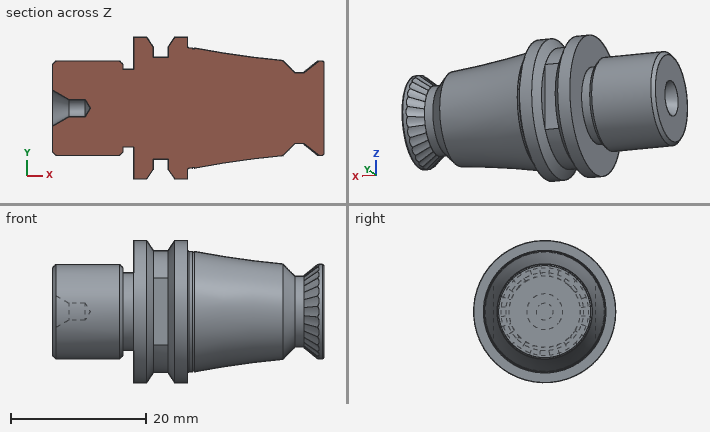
import cadquery as cq
import math

LENGTH = 40.1

SHANK_RADIUS = 14.0 / 2
SHANK_END = 10.43
SHANK_CHAMFER = 0.52
RELIEF_RADIUS = 11.5 / 2

FLANGE_RADIUS = 21.0 / 2
FLANGE_START = 12.0
FLANGE_END = 19.95
FLANGE_RIM_WIDTH = 1.92
GROOVE_RADIUS = 9.02
GROOVE_WIDTH = 2.15
FLAT_DISTANCE = 15.08

TAPER_LARGE_RADIUS = 8.9
TAPER_START = 20.97
TAPER_SMALL_RADIUS = 7.05
TAPER_END = 34.0
TAPER_SAG = 0.15
COLLAR_FLARE = 0.15
RING_START = 20.7
RING_DEPTH = 0.12
NECK_RADIUS = 10.5 / 2
NECK_START = 35.8

HEAD_START = 37.15
HEAD_RADIUS = 14.0 / 2
HEAD_CHAMFER = 0.2
FLUTE_COUNT = 28
FLUTE_RADIUS = 2.75
FLUTE_END = 39.38
FLUTE_STOCK = 0.32
FLUTE_OVERRUN = 1.2

COUNTERSINK_RADIUS = 5.3 / 2
PILOT_RADIUS = 2.5 / 2
PILOT_LENGTH = 2.4
COUNTERSINK_HALF_ANGLE = math.radians(30)
DRILL_HALF_ANGLE = math.radians(59)


def revolve_about_x(profile):
    """Revolve a closed XY profile a full turn about the X axis."""
    return profile.close().revolve(360, (0, 0, 0), (1, 0, 0))


def make_body():
    """Shank, flange, tapered nose and the neck up to the head."""
    groove_middle = (FLANGE_START + FLANGE_END) / 2
    groove_start = groove_middle - GROOVE_WIDTH / 2
    groove_end = groove_middle + GROOVE_WIDTH / 2
    ring_radius = TAPER_LARGE_RADIUS - RING_DEPTH
    taper_middle = (TAPER_START + TAPER_END) / 2
    taper_middle_radius = (TAPER_LARGE_RADIUS + TAPER_SMALL_RADIUS) / 2 - TAPER_SAG
    profile = (
        cq.Workplane("XY")
        .moveTo(0, 0)
        .lineTo(0, SHANK_RADIUS - SHANK_CHAMFER)
        .lineTo(SHANK_CHAMFER, SHANK_RADIUS)
        .lineTo(SHANK_END - SHANK_CHAMFER, SHANK_RADIUS)
        .lineTo(SHANK_END, SHANK_RADIUS - SHANK_CHAMFER)
        .lineTo(SHANK_END, RELIEF_RADIUS)
        .lineTo(FLANGE_START, RELIEF_RADIUS)
        .lineTo(FLANGE_START, FLANGE_RADIUS)
        .lineTo(FLANGE_START + FLANGE_RIM_WIDTH, FLANGE_RADIUS)
        .lineTo(groove_start, GROOVE_RADIUS)
        .lineTo(groove_end, GROOVE_RADIUS)
        .lineTo(FLANGE_END - FLANGE_RIM_WIDTH, FLANGE_RADIUS)
        .lineTo(FLANGE_END, FLANGE_RADIUS)
        .lineTo(FLANGE_END, TAPER_LARGE_RADIUS + COLLAR_FLARE)
        .lineTo(FLANGE_END + COLLAR_FLARE, TAPER_LARGE_RADIUS)
        .lineTo(RING_START, TAPER_LARGE_RADIUS)
        .lineTo(RING_START, ring_radius)
        .lineTo(TAPER_START, ring_radius)
        .lineTo(TAPER_START, TAPER_LARGE_RADIUS)
        .threePointArc((taper_middle, taper_middle_radius), (TAPER_END, TAPER_SMALL_RADIUS))
        .lineTo(NECK_START, NECK_RADIUS)
        .lineTo(HEAD_START, NECK_RADIUS)
        .lineTo(HEAD_START, 0)
    )
    return revolve_about_x(profile)


def make_groove_flat_cutter():
    """Stock on both Y sides of the groove floor, outside the flats."""
    groove_middle = (FLANGE_START + FLANGE_END) / 2
    full_width = 2 * FLANGE_RADIUS
    slab = cq.Workplane("XY").box(GROOVE_WIDTH, full_width, full_width)
    core = cq.Workplane("XY").box(GROOVE_WIDTH, FLAT_DISTANCE, full_width)
    return slab.cut(core).translate((groove_middle, 0, 0))


def make_head():
    """Flared head whose conical side is scalloped by round flutes."""
    rise = HEAD_RADIUS - NECK_RADIUS
    run = FLUTE_END - HEAD_START
    slope = math.atan2(rise, run)
    stock_end = FLUTE_END - FLUTE_STOCK * run / rise
    head = revolve_about_x(
        cq.Workplane("XY")
        .moveTo(HEAD_START, 0)
        .lineTo(HEAD_START, NECK_RADIUS + FLUTE_STOCK)
        .lineTo(stock_end, HEAD_RADIUS)
        .lineTo(LENGTH - HEAD_CHAMFER, HEAD_RADIUS)
        .lineTo(LENGTH, HEAD_RADIUS - HEAD_CHAMFER)
        .lineTo(LENGTH, 0)
    )

    along = cq.Vector(math.cos(slope), math.sin(slope), 0)
    outward = cq.Vector(-math.sin(slope), math.cos(slope), 0)
    bottom_start = cq.Vector(HEAD_START, NECK_RADIUS, 0)
    overrun = FLUTE_RADIUS + FLUTE_OVERRUN
    axis_start = bottom_start + outward * FLUTE_RADIUS - along * overrun
    cutter_length = math.hypot(rise, run) + 2 * overrun
    cutter = cq.Solid.makeCylinder(FLUTE_RADIUS, cutter_length, axis_start, along)
    for index in range(FLUTE_COUNT):
        angle = index * 360 / FLUTE_COUNT
        head = head.cut(cq.Workplane(cutter.rotate(cq.Vector(0, 0, 0), cq.Vector(1, 0, 0), angle)))
    return head


def make_centre_hole():
    """Countersink, pilot bore and drill point, entering at X = 0."""
    pilot_start = (COUNTERSINK_RADIUS - PILOT_RADIUS) / math.tan(COUNTERSINK_HALF_ANGLE)
    pilot_end = pilot_start + PILOT_LENGTH
    tip = pilot_end + PILOT_RADIUS / math.tan(DRILL_HALF_ANGLE)
    return revolve_about_x(
        cq.Workplane("XY")
        .moveTo(0, 0)
        .lineTo(0, COUNTERSINK_RADIUS)
        .lineTo(pilot_start, PILOT_RADIUS)
        .lineTo(pilot_end, PILOT_RADIUS)
        .lineTo(tip, 0)
    )


result = (
    make_body()
    .cut(make_groove_flat_cutter())
    .union(make_head())
    .cut(make_centre_hole())
)